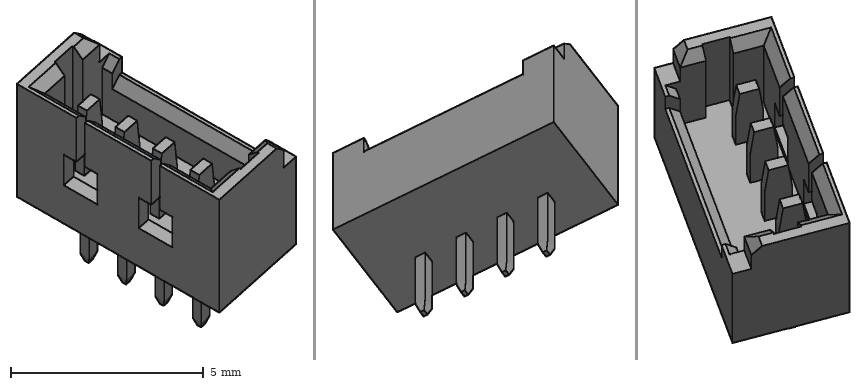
import cadquery as cq

HOUSING_LENGTH = 6.75
HOUSING_DEPTH = 3.2
HOUSING_HEIGHT = 4.205
LEAD_IN = 0.3

STEP_HEIGHT = 3.26
STEP_DEPTH = 0.51
OPENING_HEIGHT = 2.68
OPENING_LENGTH = 4.86

FLOOR_HEIGHT = 1.235
END_WALL = 0.61
LONG_WALL = 0.405
CAVITY_LENGTH = HOUSING_LENGTH - 2 * END_WALL
CAVITY_BACK = HOUSING_DEPTH - LONG_WALL

GROOVE_DEPTH = 0.34
GROOVE_WIDTH = 0.75
GROOVE_CENTRE_Y = 1.605

PIN_COUNT = 4
PIN_PITCH = 1.25
PIN_THICKNESS = 0.3
BLADE_FRONT = 0.75
BLADE_WIDTH = 0.75
PIN_CENTRE_Y = BLADE_FRONT + BLADE_WIDTH / 2
BLADE_TOP_WIDTH = 0.53
BLADE_TOP = 3.58
BLADE_TAPER_START = 2.585
TAIL_WIDTH = 0.35
TAIL_LENGTH = 2.295
TIP_LENGTH = 0.3
TIP_THICKNESS = 0.12
TIP_WIDTH = 0.175

WINDOW_CENTRES_X = (-PIN_PITCH, PIN_PITCH)
WINDOW_LENGTH = 1.12
WINDOW_BOTTOM = 1.43
WINDOW_TOP = 2.565
SLOT_WIDTH = 0.29


def block(length, y_start, y_end, z_start, z_end, centre_x=0.0):
    """Box centred on centre_x and bounded by the given Y and Z limits."""
    return (
        cq.Workplane("XY")
        .box(length, y_end - y_start, z_end - z_start, centered=(True, False, False))
        .translate((centre_x, y_start, z_start))
    )


def side_prism(points, length):
    """Prism along X, centred on X = 0, from a (Y, Z) outline."""
    return cq.Workplane("YZ").polyline(points).close().extrude(length / 2, both=True)


def frustum(size_low, z_low, size_high, z_high, centre):
    """Solid between two centred rectangles at different heights."""
    return (
        cq.Workplane("XY", origin=(centre[0], centre[1], z_low))
        .rect(*size_low)
        .workplane(offset=z_high - z_low)
        .rect(*size_high)
        .loft(ruled=True, combine=True)
    )


def housing_blank():
    """Solid housing with the rear step and the sloped rear corner of the end walls."""
    step_y = HOUSING_DEPTH - STEP_DEPTH
    outline = [
        (0, 0),
        (HOUSING_DEPTH, 0),
        (HOUSING_DEPTH, STEP_HEIGHT),
        (step_y, STEP_HEIGHT),
        (step_y, HOUSING_HEIGHT - LEAD_IN),
        (step_y - LEAD_IN, HOUSING_HEIGHT),
        (0, HOUSING_HEIGHT),
    ]
    return side_prism(outline, HOUSING_LENGTH)


def mouth_bevel():
    """Flared cavity mouth along the front and end walls."""
    depth = CAVITY_BACK - LONG_WALL
    return frustum(
        (CAVITY_LENGTH, depth),
        HOUSING_HEIGHT - LEAD_IN,
        (CAVITY_LENGTH + 2 * LEAD_IN, depth + 2 * LEAD_IN),
        HOUSING_HEIGHT,
        (0, (LONG_WALL + CAVITY_BACK) / 2),
    )


def rear_bevel(top_height, length):
    """Wedge that bevels the inner top edge of the rear wall."""
    outline = [
        (CAVITY_BACK, top_height - LEAD_IN),
        (CAVITY_BACK + LEAD_IN, top_height),
        (CAVITY_BACK, top_height),
    ]
    return side_prism(outline, length)


def key_grooves():
    """One cutter for the grooves in both end walls."""
    return block(
        CAVITY_LENGTH + 2 * GROOVE_DEPTH,
        GROOVE_CENTRE_Y - GROOVE_WIDTH / 2,
        GROOVE_CENTRE_Y + GROOVE_WIDTH / 2,
        FLOOR_HEIGHT,
        HOUSING_HEIGHT,
    )


def latch_cut(centre_x):
    """Window just above the floor with a narrow slot running up through the top edge."""
    window = block(WINDOW_LENGTH, 0, LONG_WALL, WINDOW_BOTTOM, WINDOW_TOP, centre_x)
    slot = block(SLOT_WIDTH, 0, LONG_WALL, WINDOW_TOP, HOUSING_HEIGHT, centre_x)
    return window.union(slot)


def pin(centre_x):
    """Contact with a tapered blade in the cavity and a pointed tail below."""
    centre = (centre_x, PIN_CENTRE_Y)
    blade_size = (PIN_THICKNESS, BLADE_WIDTH)
    tail_size = (PIN_THICKNESS, TAIL_WIDTH)
    tip_start = TIP_LENGTH - TAIL_LENGTH
    tip = frustum((TIP_THICKNESS, TIP_WIDTH), -TAIL_LENGTH, tail_size, tip_start, centre)
    tail = frustum(tail_size, tip_start, tail_size, FLOOR_HEIGHT, centre)
    blade = frustum(blade_size, FLOOR_HEIGHT, blade_size, BLADE_TAPER_START, centre)
    blade_end = frustum(
        blade_size, BLADE_TAPER_START, (PIN_THICKNESS, BLADE_TOP_WIDTH), BLADE_TOP, centre
    )
    return tip.union(tail).union(blade).union(blade_end)


result = housing_blank()
result = result.cut(block(CAVITY_LENGTH, LONG_WALL, CAVITY_BACK, FLOOR_HEIGHT, HOUSING_HEIGHT))
result = result.cut(mouth_bevel())
result = result.cut(key_grooves())

result = result.cut(rear_bevel(STEP_HEIGHT, CAVITY_LENGTH))
result = result.cut(block(OPENING_LENGTH, CAVITY_BACK, HOUSING_DEPTH, OPENING_HEIGHT, STEP_HEIGHT))
result = result.cut(rear_bevel(OPENING_HEIGHT, OPENING_LENGTH))

for window_x in WINDOW_CENTRES_X:
    result = result.cut(latch_cut(window_x))

for index in range(PIN_COUNT):
    result = result.union(pin((index - (PIN_COUNT - 1) / 2) * PIN_PITCH))